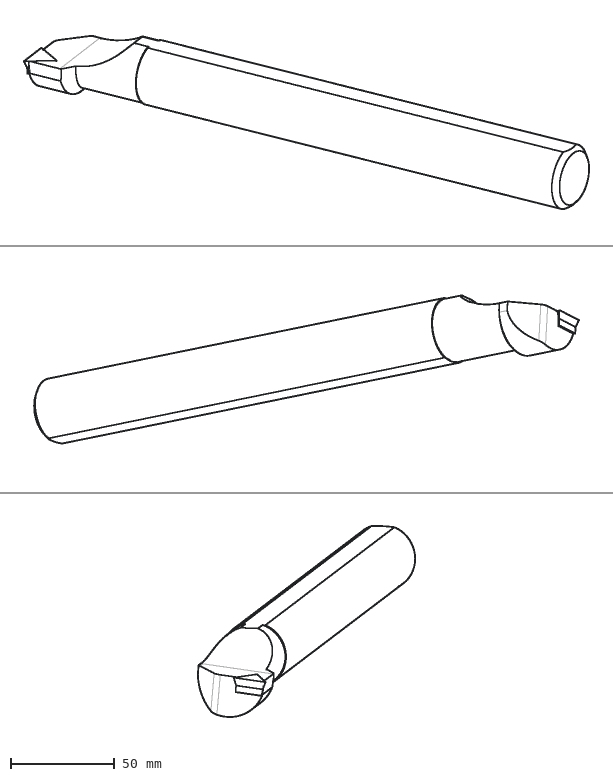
import cadquery as cq
import math

total_length = 300.0
shank_diameter = 32.0
shank_radius = shank_diameter / 2
flat_height = 15.0
shank_start = 60.0
end_chamfer = 2.7
neck_radius = 15.5

head_front = 1.8
head_radius = 18.5
head_center_y = -2.7
head_back = 19.8
head_taper = 9.0
side_flat_y = -20.7
corner_cut_start_x = 15.0
corner_cut_side_y = 15.5
corner_cut_front_y = 3.3
corner_radius = 4.8

face_tilt = 5.0
overall_width = 38.0
tip_y = shank_radius - overall_width
insert_side = 16.0
insert_thickness = 4.0
shim_thickness = 3.3
relief_angle = 11.0
relief_inset = insert_thickness * math.tan(math.radians(relief_angle))
shim_side = insert_side - 2 * math.sqrt(3) * relief_inset

scoop_arc_start = 19.5
scoop_radius = 45.0
scoop_rise = 24.0
scoop_half_width = 45.0

big = 2 * head_radius


def tilted(shape):
    """Tilt a shape about the line through the insert tip, parallel to X."""
    pivot = (0, tip_y, 0)
    pivot_end = (1, tip_y, 0)
    return shape.rotate(pivot, pivot_end, face_tilt)


def make_shank():
    shank = (
        cq.Workplane("YZ").workplane(offset=shank_start)
        .circle(shank_radius).extrude(total_length - shank_start)
        .faces(">X").chamfer(end_chamfer)
    )
    flats = cq.Workplane("XY").box(2 * total_length, shank_diameter, 2 * flat_height)
    return shank.intersect(flats)


def make_neck():
    neck = (
        cq.Workplane("YZ").workplane(offset=head_back)
        .circle(neck_radius).extrude(shank_start - head_back)
    )
    top_limit = (
        cq.Workplane("XY").workplane(offset=flat_height)
        .rect(2 * shank_start, shank_diameter).extrude(-2 * shank_radius)
    )
    return neck.intersect(top_limit)


def make_head():
    cone_end = head_back + head_taper
    head = (
        cq.Workplane("XY")
        .moveTo(head_front, 0)
        .lineTo(head_front, head_radius)
        .lineTo(head_back, head_radius)
        .lineTo(cone_end, head_radius - head_taper)
        .lineTo(cone_end, 0)
        .close()
        .revolve(360, (0, 0, 0), (1, 0, 0))
        .translate((0, head_center_y, 0))
    )
    plan = (
        cq.Workplane("XY").workplane(offset=-big)
        .moveTo(head_front, side_flat_y)
        .lineTo(cone_end, side_flat_y)
        .lineTo(cone_end, corner_cut_side_y)
        .lineTo(corner_cut_start_x, corner_cut_side_y)
        .lineTo(head_front, corner_cut_front_y)
        .close()
        .extrude(2 * big)
        .edges(cq.selectors.NearestToPointSelector((head_front, corner_cut_front_y, 0)))
        .fillet(corner_radius)
    )
    return head.intersect(tilted(plan))


def make_scoop():
    sweep = math.acos(1 - scoop_rise / scoop_radius)
    half_sweep = sweep / 2
    arc_middle = (
        scoop_arc_start + scoop_radius * math.sin(half_sweep),
        scoop_radius * (1 - math.cos(half_sweep)),
    )
    arc_end = (scoop_arc_start + scoop_radius * math.sin(sweep), scoop_rise)
    scoop = (
        cq.Workplane("XZ").workplane(offset=-scoop_half_width)
        .moveTo(-big, 0)
        .lineTo(scoop_arc_start, 0)
        .threePointArc(arc_middle, arc_end)
        .lineTo(-big, scoop_rise)
        .close()
        .extrude(2 * scoop_half_width)
    )
    return tilted(scoop)


def triangle_plate(side, thickness, taper=0):
    """Triangular plate hanging below z = 0, one side along Y and one corner towards +X."""
    height = side * math.sqrt(3) / 2
    return (
        cq.Workplane("XY")
        .polyline([(0, -side / 2), (height, 0), (0, side / 2)])
        .close()
        .extrude(-thickness, taper=taper)
        .translate((0, insert_side / 2 + tip_y, 0))
    )


def make_insert():
    return tilted(triangle_plate(insert_side, insert_thickness, relief_angle))


def make_shim_seat():
    """Raised seat that carries the insert, matching its lower face."""
    seat = triangle_plate(shim_side, shim_thickness).translate((relief_inset, 0, -insert_thickness))
    return tilted(seat)


insert = make_insert()
holder = (
    make_neck()
    .union(make_head())
    .cut(make_scoop())
    .union(make_shank())
    .union(make_shim_seat())
    .cut(insert)
)

result = cq.Compound.makeCompound([holder.val(), insert.val()])